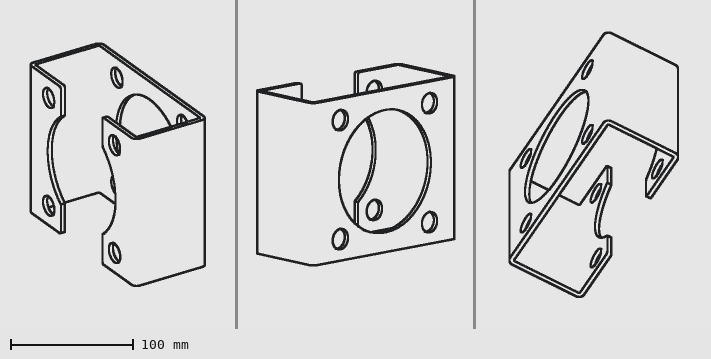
import cadquery as cq

width = 160.0
depth = 70.0
height = 135.0

thickness = 4.0
inner_bend_radius = 1.0
outer_bend_radius = inner_bend_radius + thickness

flange_gap = 62.4
flange_corner_radius = 2.0

center_bore_diameter = 102.0
bolt_hole_diameter = 17.0
bolt_spacing = 99.0


def rounded_box(size_x, size_y, corner_radius):
    """Upright block with rounded vertical edges."""
    return cq.Workplane("XY").box(size_x, size_y, height).edges("|Z").fillet(corner_radius)


def channel():
    """Rectangular tube wall with a slot along the front, leaving two flanges."""
    outside = rounded_box(width, depth, outer_bend_radius)
    inside = rounded_box(width - 2 * thickness, depth - 2 * thickness, inner_bend_radius)
    slot = cq.Workplane("XY").box(flange_gap, depth / 2, height).translate((0, -depth / 2, 0))
    return outside.cut(inside).cut(slot)


def round_flange_corners(body):
    """Round the top and bottom corners at the free edge of each flange."""
    margin = flange_corner_radius
    free_edges = cq.selectors.BoxSelector(
        (-flange_gap / 2 - margin, -depth / 2 - margin, -height / 2 - margin),
        (flange_gap / 2 + margin, -depth / 2 + thickness + margin, height / 2 + margin),
    )
    return body.edges("|Y").edges(free_edges).fillet(flange_corner_radius)


def hole_cutters():
    """Center bore and four bolt holes running through the full depth."""
    plane = cq.Workplane("XZ")
    bore = plane.circle(center_bore_diameter / 2).extrude(depth, both=True)
    bolts = (
        plane.rect(bolt_spacing, bolt_spacing, forConstruction=True)
        .vertices()
        .circle(bolt_hole_diameter / 2)
        .extrude(depth, both=True)
    )
    return bore.union(bolts)


result = round_flange_corners(channel()).cut(hole_cutters())